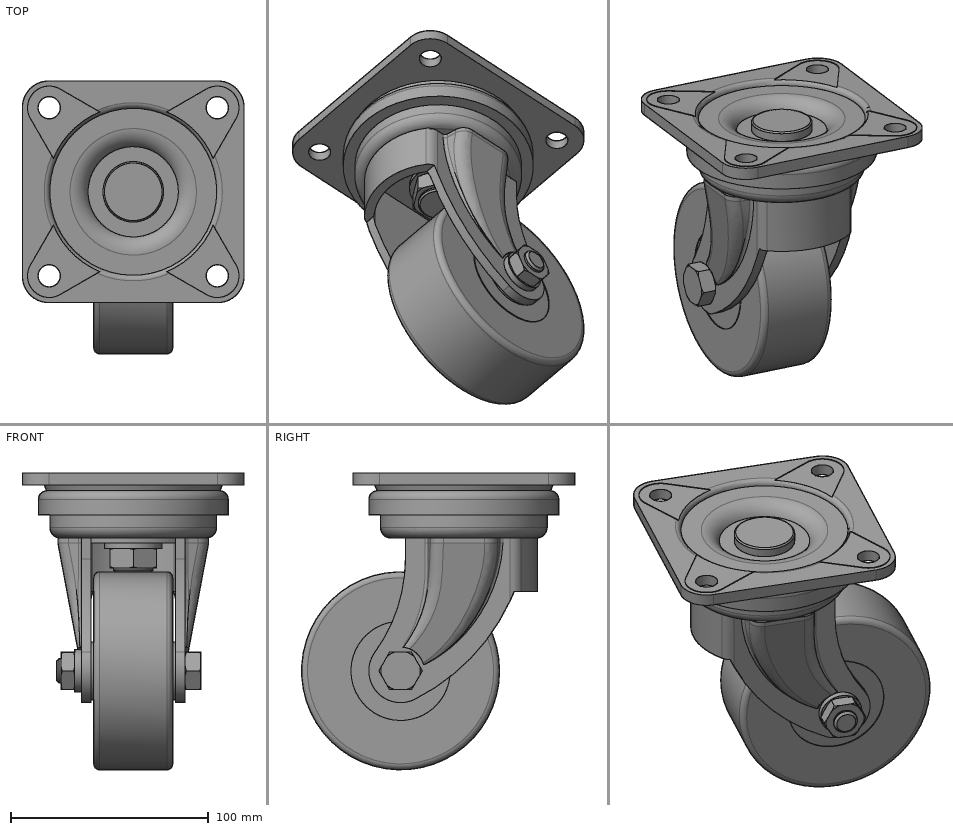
import cadquery as cq
import math


total_height = 150.0
wheel_diameter = 100.0
wheel_radius = wheel_diameter / 2
axle_y = -32.0
axle_z = wheel_radius

plate_side = 112.0
plate_thickness = 6.2
plate_corner_radius = 13.4
plate_bottom_z = total_height - plate_thickness
mount_hole_offset = 42.5
mount_hole_radius = 5.5
pad_radius = 11.0
pad_depth = 0.3
pad_flank_angle = 30.0
recess_radius = 45.0
recess_depth = 2.8
recess_floor_z = total_height - recess_depth
rim_bottom_z = plate_bottom_z - recess_depth
rim_bottom_radius = 44.0
dish_top_radius = 32.0
dish_floor_radius = 22.8
dish_floor_z = total_height - 9.0
plate_hub_radius = dish_top_radius
plate_hub_bottom_z = dish_floor_z - plate_thickness

kingpin_radius = 10.0
kingpin_head_radius = 15.3
kingpin_head_top_z = total_height - 4.0
kingpin_head_chamfer = 0.8
kingpin_end_z = 100.0
kingpin_end_chamfer = 0.9
kingpin_washer_radius = 14.5
kingpin_washer_bottom_z = 111.9
kingpin_nut_flats = 23.5
kingpin_nut_bottom_z = 102.0

ring_radius = 48.0
ring_bottom_z = 128.8
ring_round_radius = 4.4
cup_radius = 42.2
cup_round_radius = 5.5
cup_bottom_z = 117.0
base_radius = 29.5
base_bottom_z = 114.6

arm_inner_x = 21.3
arm_thickness = 5.0
arm_outer_x = arm_inner_x + arm_thickness
arm_front_y = -29.5
arm_end_radius = 16.0
arm_open_y = 2 * axle_y
front_arc_radius = 80.0
rear_arc_radius = 105.2
rear_arc_center_y = -72.0
back_wall_radius = 37.4
back_wall_bottom_z = 90.0
back_corner_radius = 7.2

rib_outer_x = 38.1
rib_taper_angle = 10.6
rib_rear_y = 20.2
rib_rear_arc_radius = 72.8
rib_rear_arc_z = 118.2
rib_front_y = -20.0
rib_front_arc_radius = 73.5
rib_front_arc_z = 100.5
rib_end_z = 53.2
rib_section_count = 5
rib_side_draft = 12.5
rib_crown_radius = 6.8
rib_foot_width = 2.0
rib_foot_height = 1.5
rib_foot_share = 0.25
rib_crown_share = 0.7
rib_root_depth = 2.2
rib_seat_radius = 12.0

wheel_half_width = 20.0
wheel_round_radius = 3.0
wheel_recess_radius = 25.0
wheel_recess_depth = 0.5
wheel_hub_radius = 14.7

axle_radius = 6.2
axle_flats = 19.0
axle_head_end_x = 34.2
axle_washer_end_x = -29.5
axle_washer_radius = 10.8
axle_nut_end_x = -36.5
axle_end_x = -38.7
axle_end_chamfer = 1.2
hex_chamfer_length = 1.0
hex_chamfer_height = 0.6


def cylinder_z(radius, bottom, top):
    return cq.Workplane("XY").workplane(offset=bottom).circle(radius).extrude(top - bottom)


def cylinder_x(radius, start, end):
    """Cylinder on the axle line, from X = start to X = end."""
    return (
        cq.Workplane("YZ", origin=(start, 0, 0))
        .center(axle_y, axle_z)
        .circle(radius)
        .extrude(end - start)
    )


def chamfered_hex(flats, height):
    """Hexagon along Z with its corners bevelled at both ends and two corners on the Y axis."""
    corner_diameter = flats / math.cos(math.pi / 6)
    prism = cq.Workplane("XY").polygon(6, corner_diameter).extrude(height)
    bevel = (
        cq.Workplane("XY")
        .circle(corner_diameter / 2)
        .extrude(height)
        .edges()
        .chamfer(hex_chamfer_height, hex_chamfer_length)
    )
    return prism.intersect(bevel).rotate((0, 0, 0), (0, 0, 1), 90)


def axle_hex(start, end):
    """Chamfered hexagon on the axle line, from X = start to X = end."""
    hexagon = chamfered_hex(axle_flats, end - start)
    return hexagon.rotate((0, 0, 0), (0, 1, 0), 90).translate((start, axle_y, axle_z))


def arc_point(center, radius, angle):
    """Point on a circle, at an angle in radians from the first axis of its plane."""
    return (center[0] + radius * math.cos(angle), center[1] + radius * math.sin(angle))



def corner_pad():
    """Shallow teardrop around one mounting hole, widening toward the plate's middle."""
    flank = math.radians(pad_flank_angle)
    hole = mount_hole_offset
    upper = (hole - pad_radius * math.sin(flank), hole + pad_radius * math.cos(flank))
    lower = (upper[1], upper[0])
    tip = hole + pad_radius * math.sqrt(0.5)
    upper_inner = (upper[0] - hole * math.cos(flank), upper[1] - hole * math.sin(flank))
    lower_inner = (upper_inner[1], upper_inner[0])
    return (
        cq.Workplane("XY", origin=(0, 0, total_height - pad_depth))
        .moveTo(*upper_inner)
        .lineTo(*upper)
        .threePointArc((tip, tip), lower)
        .lineTo(*lower_inner)
        .close()
        .extrude(pad_depth)
    )


def dished_recess():
    """Round-edged recess in the plate's top, with a deeper rounded dish in its middle."""
    drop = recess_floor_z - dish_floor_z
    run = dish_top_radius - dish_floor_radius
    turn = 2 * math.atan(drop / run)
    bend = run / math.sin(turn)
    half = turn / 2
    dish_middle = (dish_top_radius - bend * math.sin(half), recess_floor_z - bend * (1 - math.cos(half)))
    edge_center = (recess_radius, recess_floor_z)
    return (
        cq.Workplane("XZ")
        .moveTo(0, total_height)
        .lineTo(recess_radius, total_height)
        .threePointArc(
            arc_point(edge_center, recess_depth, math.radians(135)),
            (recess_radius - recess_depth, recess_floor_z),
        )
        .lineTo(dish_top_radius, recess_floor_z)
        .threePointArc(dish_middle, (dish_floor_radius, dish_floor_z))
        .lineTo(0, dish_floor_z)
        .close()
        .revolve(360, (0, 0, 0), (0, 1, 0))
    )


def build_plate():
    plate = (
        cq.Workplane("XY", origin=(0, 0, plate_bottom_z))
        .rect(plate_side, plate_side)
        .extrude(plate_thickness)
        .edges("|Z")
        .fillet(plate_corner_radius)
    )
    underside = (
        cq.Workplane("XZ")
        .moveTo(0, plate_bottom_z)
        .lineTo(recess_radius, plate_bottom_z)
        .lineTo(rim_bottom_radius, rim_bottom_z)
        .lineTo(plate_hub_radius, rim_bottom_z)
        .lineTo(plate_hub_radius, plate_hub_bottom_z)
        .lineTo(0, plate_hub_bottom_z)
        .close()
        .revolve(360, (0, 0, 0), (0, 1, 0))
    )
    plate = plate.union(underside)
    for quarter in range(4):
        pad = corner_pad().rotate((0, 0, 0), (0, 0, 1), 90 * quarter)
        plate = plate.cut(pad)
    plate = plate.cut(dished_recess())
    hole_spacing = 2 * mount_hole_offset
    mount_holes = (
        cq.Workplane("XY", origin=(0, 0, plate_bottom_z))
        .rarray(hole_spacing, hole_spacing, 2, 2)
        .circle(mount_hole_radius)
        .extrude(plate_thickness)
    )
    kingpin_hole = cylinder_z(kingpin_radius, plate_hub_bottom_z, total_height)
    return plate.cut(mount_holes).cut(kingpin_hole)



def fork_head():
    """Round head: an outer ring above a smaller cup with a rounded bottom edge."""
    ring_round_center = (ring_radius - ring_round_radius, rim_bottom_z - ring_round_radius)
    cup_round_center = (cup_radius - cup_round_radius, cup_bottom_z + cup_round_radius)
    head = (
        cq.Workplane("XZ")
        .moveTo(0, rim_bottom_z)
        .lineTo(ring_round_center[0], rim_bottom_z)
        .threePointArc(
            arc_point(ring_round_center, ring_round_radius, math.radians(45)),
            (ring_radius, ring_round_center[1]),
        )
        .lineTo(ring_radius, ring_bottom_z)
        .lineTo(cup_radius, ring_bottom_z)
        .lineTo(cup_radius, cup_round_center[1])
        .threePointArc(
            arc_point(cup_round_center, cup_round_radius, math.radians(-45)),
            (cup_round_center[0], cup_bottom_z),
        )
        .lineTo(0, cup_bottom_z)
        .close()
        .revolve(360, (0, 0, 0), (0, 1, 0))
    )
    base = cylinder_z(base_radius, base_bottom_z, cup_bottom_z)
    hub_recess = cylinder_z(plate_hub_radius, plate_hub_bottom_z, rim_bottom_z)
    return head.union(base).cut(hub_recess)


def wall_block(half_width, back_radius, corner_radius, front_y):
    """Upright block with straight sides at +-half_width and a round back with blended corners."""
    corner_x = half_width - corner_radius
    corner_y = math.sqrt((back_radius - corner_radius) ** 2 - corner_x**2)
    blend = math.atan2(corner_y, corner_x)
    end_x = back_radius * math.cos(blend)
    end_y = back_radius * math.sin(blend)
    middle = arc_point((corner_x, corner_y), corner_radius, blend / 2)
    return (
        cq.Workplane("XY")
        .moveTo(half_width, front_y)
        .lineTo(half_width, corner_y)
        .threePointArc(middle, (end_x, end_y))
        .threePointArc((0, back_radius), (-end_x, end_y))
        .threePointArc((-middle[0], middle[1]), (-half_width, corner_y))
        .lineTo(-half_width, front_y)
        .close()
        .extrude(cup_bottom_z)
    )


def arm_side_profile():
    """Side outline of the arms and back wall, run through in X.

    The front and rear arcs are both tangent to the round end about the axle.
    """
    front_y = arm_front_y - front_arc_radius
    front_z = axle_z + math.sqrt((front_arc_radius + arm_end_radius) ** 2 - (front_y - axle_y) ** 2)
    front_turn = math.atan2(axle_z - front_z, axle_y - front_y)
    front_end = arc_point((front_y, front_z), front_arc_radius, front_turn)

    rear_y = rear_arc_center_y
    rear_z = axle_z + math.sqrt((rear_arc_radius - arm_end_radius) ** 2 - (rear_y - axle_y) ** 2)
    rear_end_angle = math.atan2(axle_z - rear_z, axle_y - rear_y)
    rear_end = arc_point((rear_y, rear_z), rear_arc_radius, rear_end_angle)
    rear_start_angle = math.asin((back_wall_bottom_z - rear_z) / rear_arc_radius)
    rear_start = arc_point((rear_y, rear_z), rear_arc_radius, rear_start_angle)
    rear_middle_angle = (rear_start_angle + rear_end_angle) / 2

    nose_angle = (rear_end_angle + front_turn - math.pi) / 2
    return (
        cq.Workplane("YZ")
        .moveTo(arm_front_y, cup_bottom_z)
        .lineTo(back_wall_radius, cup_bottom_z)
        .lineTo(back_wall_radius, back_wall_bottom_z)
        .lineTo(*rear_start)
        .threePointArc(arc_point((rear_y, rear_z), rear_arc_radius, rear_middle_angle), rear_end)
        .threePointArc(arc_point((axle_y, axle_z), arm_end_radius, nose_angle), front_end)
        .threePointArc(
            arc_point((front_y, front_z), front_arc_radius, front_turn / 2),
            (arm_front_y, front_z),
        )
        .close()
        .extrude(arm_outer_x, both=True)
    )


def fork_walls():
    outer = wall_block(arm_outer_x, back_wall_radius, back_corner_radius, arm_open_y)
    inner = wall_block(
        arm_inner_x,
        back_wall_radius - arm_thickness,
        back_corner_radius - arm_thickness,
        arm_open_y,
    )
    return outer.cut(inner).intersect(arm_side_profile())


def rib_edge_y(start_y, arc_radius, arc_z, z):
    """Y of a rib's foot edge at height z: upright above arc_z, bending toward -Y below it."""
    drop = max(arc_z - z, 0)
    return start_y - arc_radius + math.sqrt(arc_radius**2 - drop**2)


def rib_section(z):
    """Level cross-section of the rib at height z: concave feet, drafted sides and rounded crown."""
    rear = rib_edge_y(rib_rear_y, rib_rear_arc_radius, rib_rear_arc_z, z)
    front = rib_edge_y(rib_front_y, rib_front_arc_radius, rib_front_arc_z, z)
    middle = (rear + front) / 2
    half_width = (rear - front) / 2
    crown_x = rib_outer_x - (base_bottom_z - z) * math.tan(math.radians(rib_taper_angle))
    height = crown_x - arm_outer_x

    draft = math.radians(rib_side_draft)
    foot_height = min(rib_foot_height, rib_foot_share * height)
    foot_width = rib_foot_width * foot_height / rib_foot_height
    crown_depth = min(rib_crown_radius * (1 - math.sin(draft)), rib_crown_share * height)
    crown_width = math.sqrt(rib_crown_radius**2 - (rib_crown_radius - crown_depth) ** 2)
    side_width = half_width - foot_width
    shoulder = side_width - (height - foot_height - crown_depth) * math.tan(draft)
    flat = shoulder - crown_width
    half_turn = math.asin(crown_width / rib_crown_radius) / 2
    crown_mid = flat + rib_crown_radius * math.sin(half_turn)
    crown_mid_x = crown_x - rib_crown_radius * (1 - math.cos(half_turn))
    foot_sag = 1 - math.sqrt(0.5)
    foot_mid = side_width + foot_sag * foot_width
    foot_mid_x = arm_outer_x + foot_sag * foot_height
    root_x = arm_outer_x - rib_root_depth
    foot_x = arm_outer_x + foot_height
    shoulder_x = crown_x - crown_depth

    return (
        cq.Workplane("XY", origin=(0, middle, z))
        .moveTo(root_x, half_width)
        .lineTo(arm_outer_x, half_width)
        .threePointArc((foot_mid_x, foot_mid), (foot_x, side_width))
        .lineTo(shoulder_x, shoulder)
        .threePointArc((crown_mid_x, crown_mid), (crown_x, flat))
        .lineTo(crown_x, -flat)
        .threePointArc((crown_mid_x, -crown_mid), (shoulder_x, -shoulder))
        .lineTo(foot_x, -side_width)
        .threePointArc((foot_mid_x, -foot_mid), (arm_outer_x, -half_width))
        .lineTo(root_x, -half_width)
        .close()
    )


def fork_rib():
    """Rib on the +X arm: upright below the head, then tapering down to the axle seat."""
    upright = rib_section(base_bottom_z).extrude(cup_bottom_z - base_bottom_z)
    step = (base_bottom_z - rib_end_z) / (rib_section_count - 1)
    wires = [rib_section(base_bottom_z - step * i).val() for i in range(rib_section_count)]
    tapered = cq.Workplane(cq.Solid.makeLoft(wires))
    axle_seat = cylinder_x(rib_seat_radius, arm_outer_x, rib_outer_x)
    return upright.union(tapered).cut(axle_seat)


def build_fork():
    rib = fork_rib()
    fork = fork_head().union(fork_walls()).union(rib).union(rib.mirror("YZ"))
    kingpin_hole = cylinder_z(kingpin_radius, base_bottom_z, rim_bottom_z)
    axle_hole = cylinder_x(axle_radius, -arm_outer_x, arm_outer_x)
    return fork.cut(kingpin_hole).cut(axle_hole)



def build_kingpin():
    shank = cylinder_z(kingpin_radius, kingpin_end_z, dish_floor_z)
    shank = shank.faces("<Z").chamfer(kingpin_end_chamfer)
    head = cylinder_z(kingpin_head_radius, dish_floor_z, kingpin_head_top_z)
    head = head.faces(">Z").chamfer(kingpin_head_chamfer)
    washer = cylinder_z(kingpin_washer_radius, kingpin_washer_bottom_z, base_bottom_z)
    nut = chamfered_hex(kingpin_nut_flats, kingpin_washer_bottom_z - kingpin_nut_bottom_z)
    nut = nut.translate((0, 0, kingpin_nut_bottom_z))
    return shank.union(head).union(washer).union(nut)


def build_wheel():
    """Tyre with rounded shoulders, a shallow round recess in each side and a hub filling the fork."""
    wheel = cylinder_x(wheel_radius, -wheel_half_width, wheel_half_width)
    wheel = wheel.edges().fillet(wheel_round_radius)
    recess_floor_x = wheel_half_width - wheel_recess_depth
    for side in (-1, 1):
        recess = cylinder_x(wheel_recess_radius, side * recess_floor_x, side * wheel_half_width)
        wheel = wheel.cut(recess)
    hub = cylinder_x(wheel_hub_radius, -arm_inner_x, arm_inner_x)
    bore = cylinder_x(axle_radius, -arm_inner_x, arm_inner_x)
    return wheel.union(hub).cut(bore)


def build_axle():
    shank = cylinder_x(axle_radius, axle_end_x, arm_outer_x)
    shank = shank.faces("<X").chamfer(axle_end_chamfer)
    head = axle_hex(arm_outer_x, axle_head_end_x)
    washer = cylinder_x(axle_washer_radius, axle_washer_end_x, -arm_outer_x)
    nut = axle_hex(axle_nut_end_x, axle_washer_end_x)
    return shank.union(head).union(washer).union(nut)


plate = build_plate()
fork = build_fork()
kingpin = build_kingpin()
wheel = build_wheel()
axle = build_axle()

result = cq.Compound.makeCompound(
    [plate.val(), fork.val(), kingpin.val(), wheel.val(), axle.val()]
)